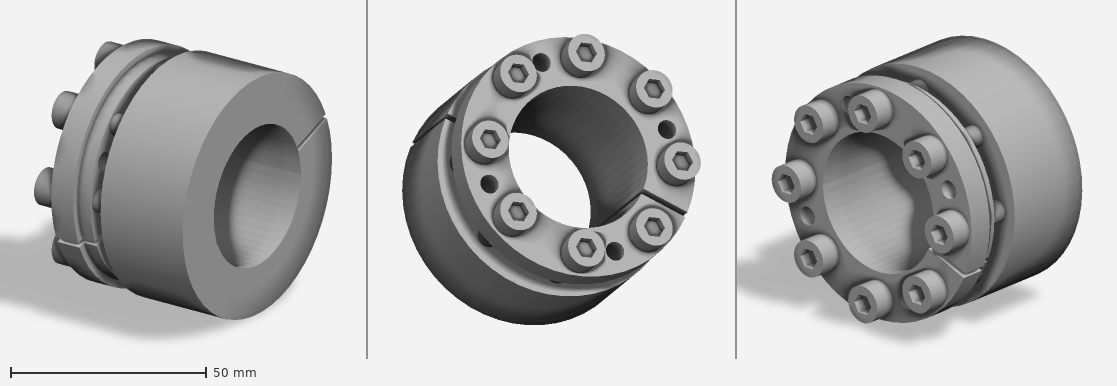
import cadquery as cq
import math


head_height = 6.0
flange_thickness = 7.0
neck_length = 4.0
gap_length = 5.0
outer_ring_length = 26.0

flange_start = head_height
neck_start = flange_start + flange_thickness
neck_end = neck_start + neck_length
outer_ring_start = neck_end + gap_length
outer_ring_end = outer_ring_start + outer_ring_length

bore_radius = 19.0
flange_radius = 32.0
neck_radius = 30.0
outer_ring_radius = 32.5

tip_wall = 0.2
taper_angle = 4.25
tip_radius = bore_radius + tip_wall
taper_slope = math.tan(math.radians(taper_angle))
mouth_radius = tip_radius + outer_ring_length * taper_slope
root_radius = mouth_radius + gap_length * taper_slope

screw_count = 8
screw_circle_radius = 26.25
screw_diameter = 6.0
screw_length = 30.0
head_diameter = 10.0
socket_across_flats = 5.0
socket_depth = 3.0
socket_across_corners = socket_across_flats / math.cos(math.radians(30))
screw_spacing = 360.0 / screw_count

jacking_hole_count = 4
jacking_hole_diameter = 5.0
half_spacing = screw_spacing / 2

slit_width = 1.5
outer_slit_angle = half_spacing
inner_slit_angle = outer_slit_angle + 180.0


def plane_at(x):
    """Workplane across the axis, with local x along +Y and local y along +Z."""
    return cq.Workplane("YZ", origin=(x, 0, 0))


def revolve_about_axis(profile):
    """Turn a profile of (x, radius) points about the X axis."""
    return cq.Workplane("XY").polyline(profile).close().revolve(360, (0, 0, 0), (1, 0, 0))


def polar_point(radius, angle):
    """Point (y, z) at a radius and an angle in degrees."""
    turn = math.radians(angle)
    return (radius * math.cos(turn), radius * math.sin(turn))


def slit_cutter(angle):
    """Thin radial slab from the axis outwards, along the whole assembly."""
    return (
        plane_at(0)
        .rect(outer_ring_radius * 2, slit_width)
        .extrude(outer_ring_end)
        .translate((0, outer_ring_radius, 0))
        .rotate((0, 0, 0), (1, 0, 0), angle)
    )


screw_points = [polar_point(screw_circle_radius, i * screw_spacing) for i in range(screw_count)]
jacking_points = [
    polar_point(screw_circle_radius, -half_spacing + i * 360.0 / jacking_hole_count)
    for i in range(jacking_hole_count)
]


def screw_holes():
    """Cylinders that the screw shanks fill."""
    return plane_at(flange_start).pushPoints(screw_points).circle(screw_diameter / 2).extrude(screw_length)


def make_inner_ring():
    """Flange, neck and tapered sleeve in one slit ring."""
    ring = revolve_about_axis([
        (flange_start, bore_radius),
        (flange_start, flange_radius),
        (neck_start, flange_radius),
        (neck_start, neck_radius),
        (neck_end, neck_radius),
        (neck_end, root_radius),
        (outer_ring_end, tip_radius),
        (outer_ring_end, bore_radius),
    ])
    jacking_holes = (
        plane_at(flange_start)
        .pushPoints(jacking_points)
        .circle(jacking_hole_diameter / 2)
        .extrude(flange_thickness + neck_length)
    )
    return ring.cut(screw_holes()).cut(jacking_holes).cut(slit_cutter(inner_slit_angle))


def make_outer_ring():
    """Slit ring with a tapered bore and blind screw holes."""
    ring = revolve_about_axis([
        (outer_ring_start, mouth_radius),
        (outer_ring_start, outer_ring_radius),
        (outer_ring_end, outer_ring_radius),
        (outer_ring_end, tip_radius),
    ])
    return ring.cut(screw_holes()).cut(slit_cutter(outer_slit_angle))


def make_screw(y, z):
    """Socket head screw on the given axis, head towards -X."""
    head = plane_at(0).circle(head_diameter / 2).extrude(head_height)
    shank = plane_at(flange_start).circle(screw_diameter / 2).extrude(screw_length)
    socket = plane_at(0).polygon(6, socket_across_corners).extrude(socket_depth)
    screw = head.union(shank).cut(socket)
    return screw.translate((0, y, z))


inner_ring = make_inner_ring()
outer_ring = make_outer_ring()
screws = [make_screw(y, z) for y, z in screw_points]

result = cq.Compound.makeCompound(
    [inner_ring.val(), outer_ring.val(), *[screw.val() for screw in screws]]
)